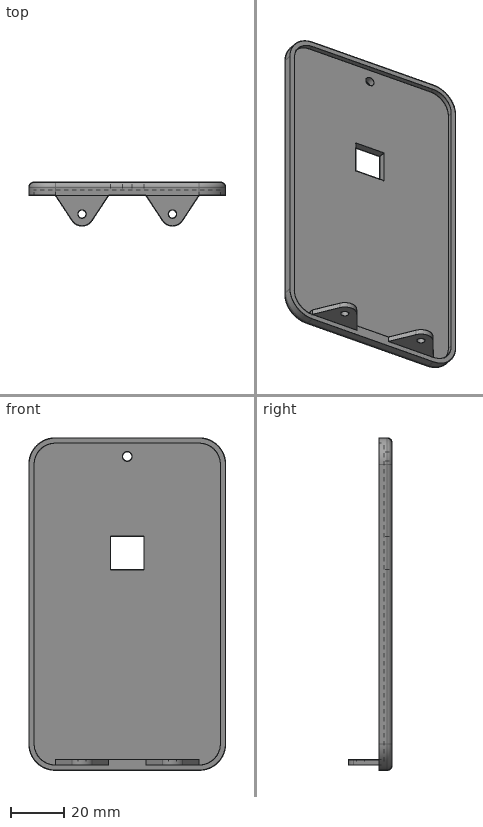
import cadquery as cq
import math

plate_width = 74.0
plate_height = 125.0
plate_thickness = 5.0
corner_radius = 10.0
back_edge_radius = 2.0

rim_width = 2.0
recess_depth = 2.0

hang_hole_diameter = 3.5
hang_hole_below_top = 7.0
window_size = 12.5
window_below_top = 37.0

lug_spacing = 34.0
lug_base_width = 20.0
lug_thickness = 2.0
lug_hole_diameter = 3.0
lug_hole_reach = 7.0
lug_tip_radius = 4.5
lug_bottom = rim_width

plate_mid_height = plate_height / 2
hang_hole_height = plate_height - hang_hole_below_top
window_mid_height = plate_height - window_below_top - window_size / 2
ledge_width = lug_spacing + lug_base_width


def rounded_slab(width, height, thickness, radius):
    """Slab from Y = 0 to +thickness, centred on the plate, with rounded corners."""
    return (
        cq.Workplane("XY")
        .box(width, thickness, height, centered=(True, False, True))
        .edges("|Y")
        .fillet(radius)
        .translate((0, 0, plate_mid_height))
    )


def make_plate():
    """Plate with a rounded back edge and a recessed front."""
    plate = rounded_slab(plate_width, plate_height, plate_thickness, corner_radius)
    plate = plate.faces(">Y").edges().fillet(back_edge_radius)
    recess = rounded_slab(
        plate_width - 2 * rim_width,
        plate_height - 2 * rim_width,
        recess_depth,
        corner_radius - rim_width,
    )
    return plate.cut(recess)


def make_openings():
    """Hanging hole and square window, each as deep as the plate."""
    hang_hole = (
        cq.Workplane("XZ")
        .center(0, hang_hole_height)
        .circle(hang_hole_diameter / 2)
        .extrude(-plate_thickness)
    )
    window = (
        cq.Workplane("XZ")
        .center(0, window_mid_height)
        .rect(window_size, window_size)
        .extrude(-plate_thickness)
    )
    return hang_hole.union(window)


def make_ledge():
    """Bar filling the recess behind and between the lugs, flush with the front face."""
    return (
        cq.Workplane("XY", origin=(0, 0, lug_bottom))
        .box(ledge_width, recess_depth, lug_thickness, centered=(True, False, False))
    )


def make_lug(center_x):
    """Lug whose straight sides run tangent into a round tip around its hole."""
    half_base = lug_base_width / 2
    corner_to_hole = math.hypot(half_base, lug_hole_reach)
    side_length = math.sqrt(corner_to_hole**2 - lug_tip_radius**2)
    side_angle = math.atan2(lug_hole_reach, half_base) + math.asin(lug_tip_radius / corner_to_hole)
    tangent_x = half_base - side_length * math.cos(side_angle)
    tangent_y = -side_length * math.sin(side_angle)
    tip_y = -(lug_hole_reach + lug_tip_radius)

    outline = (
        cq.Workplane("XY", origin=(center_x, 0, lug_bottom))
        .moveTo(-half_base, recess_depth)
        .lineTo(-half_base, 0)
        .lineTo(-tangent_x, tangent_y)
        .threePointArc((0, tip_y), (tangent_x, tangent_y))
        .lineTo(half_base, 0)
        .lineTo(half_base, recess_depth)
        .close()
    )
    hole = (
        cq.Workplane("XY", origin=(center_x, -lug_hole_reach, lug_bottom))
        .circle(lug_hole_diameter / 2)
        .extrude(lug_thickness)
    )
    return outline.extrude(lug_thickness).cut(hole)


result = make_plate().cut(make_openings()).union(make_ledge())
for side in (-1, 1):
    result = result.union(make_lug(side * lug_spacing / 2))
result = result.clean()